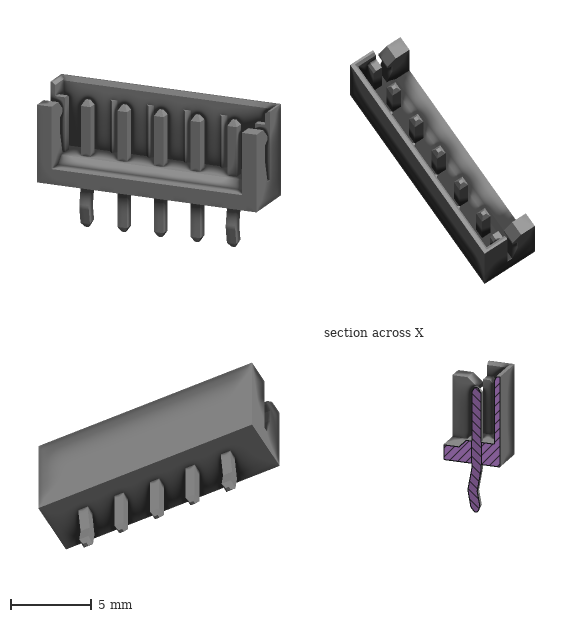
import cadquery as cq
import math

length = 15.0
depth = 3.8
height = 6.0
floor_z = 1.5

back_wall = 0.39
back_bevel_width = 0.14
back_bevel_drop = 0.27
end_wall = 0.33
end_bevel = 0.18
end_wall_front_y = 2.07

arm_width = 1.0
arm_height = 5.1
arm_top_y = 1.04
arm_nose_y = 1.66
arm_nose_top_z = 4.53
arm_nose_bottom_z = 4.25
arm_neck_y = 1.29
arm_neck_top_z = 3.99
arm_neck_bottom_z = 3.03
arm_root_y = 1.71
rail_height = 1.0
rail_depth = 1.02

block_depth = 0.63
block_bevel = 0.18
ridge_half_width = 0.25
ridge_depth = 0.3
ridge_top_z = 4.89

pin_count = 5
pin_size = 0.65
pin_y = 2.19
pin_top_z = 5.1
pin_bottom_z = -3.21
tip_size = 0.24
tip_length = 0.35
upper_bend_z = -0.35
lower_bend_z = -1.78
kink_angle = math.radians(10.3)
lower_leg_length = 1.02

pin_pitch = length / (pin_count + 1)
pin_xs = [(i - (pin_count - 1) / 2) * pin_pitch for i in range(pin_count)]
ridge_xs = [x + pin_pitch / 2 for x in pin_xs[:-1]]
pin_front_y = pin_y - pin_size / 2
inner_back_y = depth - back_wall
half_cavity = length / 2 - end_wall
half_opening = length / 2 - arm_width
tip_taper = math.degrees(math.atan((pin_size - tip_size) / 2 / tip_length))


def extrude_along_x(points, x_start, x_end):
    """Prism with a (Y, Z) outline between two X positions."""
    plane = cq.Workplane("YZ", origin=(x_start, 0, 0))
    return plane.polyline(points).close().extrude(x_end - x_start)


def make_end_profile_body():
    """Full-length body whose end outline has the latch arm, the slot and the shroud wall."""
    outline = [
        (0, 0),
        (depth, 0),
        (depth, height),
        (end_wall_front_y, height),
        (end_wall_front_y, floor_z),
        (arm_root_y, floor_z),
        (arm_neck_y, arm_neck_bottom_z),
        (arm_neck_y, arm_neck_top_z),
        (arm_nose_y, arm_nose_bottom_z),
        (arm_nose_y, arm_nose_top_z),
        (arm_top_y, arm_height),
        (0, arm_height),
    ]
    return extrude_along_x(outline, -length / 2, length / 2)


def make_cavity():
    """Shroud cavity: a prism along Y limits its ends, a prism along X limits its back."""
    half_mouth = half_cavity + end_bevel
    between_ends = (
        cq.Workplane("XZ", origin=(0, end_wall_front_y, 0))
        .polyline([
            (-half_cavity, floor_z),
            (half_cavity, floor_z),
            (half_cavity, height - end_bevel),
            (half_mouth, height),
            (-half_mouth, height),
            (-half_cavity, height - end_bevel),
        ])
        .close()
        .extrude(-(depth - end_wall_front_y))
    )
    before_back = extrude_along_x(
        [
            (end_wall_front_y, floor_z),
            (inner_back_y, floor_z),
            (inner_back_y, height - back_bevel_drop),
            (inner_back_y + back_bevel_width, height),
            (end_wall_front_y, height),
        ],
        -length / 2,
        length / 2,
    )
    return between_ends.intersect(before_back)


def make_front_opening():
    """Gap between the latch arms, above the rail and its 45 degree ramp up to the floor."""
    ramp_run = floor_z - rail_height
    outline = [
        (0, rail_height),
        (rail_depth, rail_height),
        (rail_depth + ramp_run, floor_z),
        (end_wall_front_y, floor_z),
        (end_wall_front_y, height),
        (0, height),
    ]
    return extrude_along_x(outline, -half_opening, half_opening)


def make_guide_block(side):
    """Block inside an end wall, bevelled at its top rear edge; side is -1 or +1."""
    block_back_y = end_wall_front_y + block_depth
    outline = [
        (end_wall_front_y, floor_z),
        (block_back_y, floor_z),
        (block_back_y, arm_height - block_bevel),
        (block_back_y - block_bevel, arm_height),
        (end_wall_front_y, arm_height),
    ]
    return extrude_along_x(outline, side * half_opening, side * half_cavity)


def make_ridge(x):
    """Vertical V ridge on the back wall."""
    return (
        cq.Workplane("XY", origin=(x, inner_back_y, floor_z))
        .polyline([(-ridge_half_width, 0), (0, -ridge_depth), (ridge_half_width, 0)])
        .close()
        .extrude(ridge_top_z - floor_z)
    )


def make_housing():
    housing = make_end_profile_body().cut(make_cavity()).cut(make_front_opening())
    for side in (-1, 1):
        housing = housing.union(make_guide_block(side))
    for x in ridge_xs:
        housing = housing.union(make_ridge(x))
    pin_holes = (
        cq.Workplane("XY")
        .pushPoints([(x, pin_y) for x in pin_xs])
        .rect(pin_size, pin_size)
        .extrude(floor_z)
    )
    return housing.cut(pin_holes)


def make_tip(centre, direction):
    """Blunt pyramid that ends a pin, starting at centre and pointing along direction."""
    plane = cq.Plane(origin=centre, xDir=(1, 0, 0), normal=direction)
    return cq.Workplane(plane).rect(pin_size, pin_size).extrude(tip_length, taper=tip_taper)


def make_shank(x, bottom_z):
    """Straight square shank with its upper tip."""
    shoulder_z = pin_top_z - tip_length
    shank = (
        cq.Workplane("XY", origin=(x, pin_y, bottom_z))
        .rect(pin_size, pin_size)
        .extrude(shoulder_z - bottom_z)
    )
    return shank.union(make_tip((x, pin_y, shoulder_z), (0, 0, 1)))


def make_straight_pin(x):
    shoulder_z = pin_bottom_z + tip_length
    return make_shank(x, shoulder_z).union(make_tip((x, pin_y, shoulder_z), (0, 0, -1)))


def make_kinked_pin(x):
    """Pin whose tail leans forward and then back; each bend is sharp inside and round outside."""

    def around(centre, angle):
        """Point one pin thickness from centre, at an angle below the +Y direction."""
        return (centre[0] + pin_size * math.cos(angle), centre[1] - pin_size * math.sin(angle))

    upper_pivot = (pin_front_y, upper_bend_z)
    rear_start = around(upper_pivot, 0)
    rear_mid = around(upper_pivot, kink_angle / 2)
    upper_leg_rear = around(upper_pivot, kink_angle)

    lower_pivot_y = upper_leg_rear[0] - (upper_leg_rear[1] - lower_bend_z) * math.tan(kink_angle)
    lower_pivot = (lower_pivot_y, lower_bend_z)
    upper_leg_front = around(lower_pivot, math.pi + kink_angle)
    front_mid = around(lower_pivot, math.pi)
    lower_leg_front = around(lower_pivot, math.pi - kink_angle)

    leg_direction = (math.sin(kink_angle), -math.cos(kink_angle))
    rear_end = tuple(p + lower_leg_length * d for p, d in zip(lower_pivot, leg_direction))
    front_end = tuple(p + lower_leg_length * d for p, d in zip(lower_leg_front, leg_direction))
    end_centre = tuple((r + f) / 2 for r, f in zip(rear_end, front_end))

    tail = (
        cq.Workplane("YZ", origin=(x - pin_size / 2, 0, 0))
        .moveTo(*upper_pivot)
        .lineTo(*rear_start)
        .threePointArc(rear_mid, upper_leg_rear)
        .lineTo(*lower_pivot)
        .lineTo(*rear_end)
        .lineTo(*front_end)
        .lineTo(*lower_leg_front)
        .threePointArc(front_mid, upper_leg_front)
        .close()
        .extrude(pin_size)
    )
    tip = make_tip((x, *end_centre), (0, *leg_direction))
    return make_shank(x, upper_bend_z).union(tail).union(tip)


def make_pins():
    """One pin per position; the two end pins are kinked to hold the part in place."""
    pins = []
    for i, x in enumerate(pin_xs):
        is_end_pin = i in (0, pin_count - 1)
        pin = make_kinked_pin(x) if is_end_pin else make_straight_pin(x)
        pins.append(pin.val())
    return pins


housing = make_housing()
pins = make_pins()
result = cq.Compound.makeCompound([housing.val(), *pins])